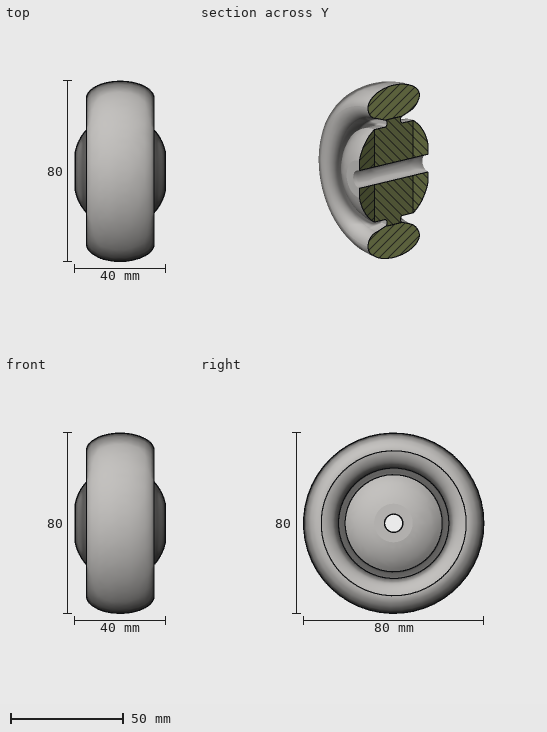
import cadquery as cq
import math


bore_radius = 4.0
core_radius = 21.5
core_half_width = 11.4
tyre_seat_radius = 24.5

tyre_radius = 40.0
tyre_half_width = 15.0
shoulder_radius = 32.2
bead_half_width = 9.6
bead_radius = 26.2

web_half_width = 4.2
inner_fillet = 1.0
outer_fillet = 0.7
seat_half_width = web_half_width + outer_fillet

cap_face_offset = 20.0
cap_face_radius = 8.6
dome_mid_offset = 15.0
dome_mid_radius = 18.3


def revolve_about_x(profile):
    return profile.close().revolve(360, (0, 0, 0), (1, 0, 0))


def concave_fillet_middle(center_x, center_radius, size, radial_side):
    """Middle point of a quarter fillet at the floor of the right-hand groove."""
    reach = size * math.sqrt(0.5)
    return (center_x - reach, center_radius + radial_side * reach)


def make_tyre():
    crown_height = tyre_radius - shoulder_radius
    side_drop = tyre_half_width - bead_half_width
    side_height = shoulder_radius - bead_radius
    profile = (
        cq.Workplane("XY")
        .moveTo(tyre_half_width, shoulder_radius)
        .ellipseArc(tyre_half_width, crown_height, 0, 180, startAtCurrent=True)
        .tangentArcPoint((side_drop, -side_height))
        .lineTo(-seat_half_width, tyre_seat_radius)
        .lineTo(seat_half_width, tyre_seat_radius)
        .lineTo(bead_half_width, bead_radius)
        .tangentArcPoint((side_drop, side_height))
    )
    return revolve_about_x(profile)


def make_hub():
    inner_middle = concave_fillet_middle(
        web_half_width + inner_fillet, core_radius + inner_fillet, inner_fillet, -1
    )
    outer_middle = concave_fillet_middle(
        seat_half_width, tyre_seat_radius - outer_fillet, outer_fillet, 1
    )
    half_profile = (
        cq.Workplane("XY")
        .moveTo(0, bore_radius)
        .lineTo(core_half_width, bore_radius)
        .lineTo(core_half_width, core_radius)
        .lineTo(web_half_width + inner_fillet, core_radius)
        .threePointArc(inner_middle, (web_half_width, core_radius + inner_fillet))
        .lineTo(web_half_width, tyre_seat_radius - outer_fillet)
        .threePointArc(outer_middle, (seat_half_width, tyre_seat_radius))
        .lineTo(0, tyre_seat_radius)
    )
    half_hub = revolve_about_x(half_profile)
    return half_hub.union(half_hub.mirror("YZ")).clean()


def make_cap(side):
    """Domed cap on the end of the core; side is -1 or +1 along X."""
    profile = (
        cq.Workplane("XY")
        .moveTo(side * core_half_width, bore_radius)
        .lineTo(side * cap_face_offset, bore_radius)
        .lineTo(side * cap_face_offset, cap_face_radius)
        .threePointArc(
            (side * dome_mid_offset, dome_mid_radius),
            (side * core_half_width, core_radius),
        )
    )
    return revolve_about_x(profile)


tyre = make_tyre()
hub = make_hub()
caps = [make_cap(side) for side in (-1, 1)]

result = cq.Compound.makeCompound([tyre.val(), hub.val(), *[cap.val() for cap in caps]])